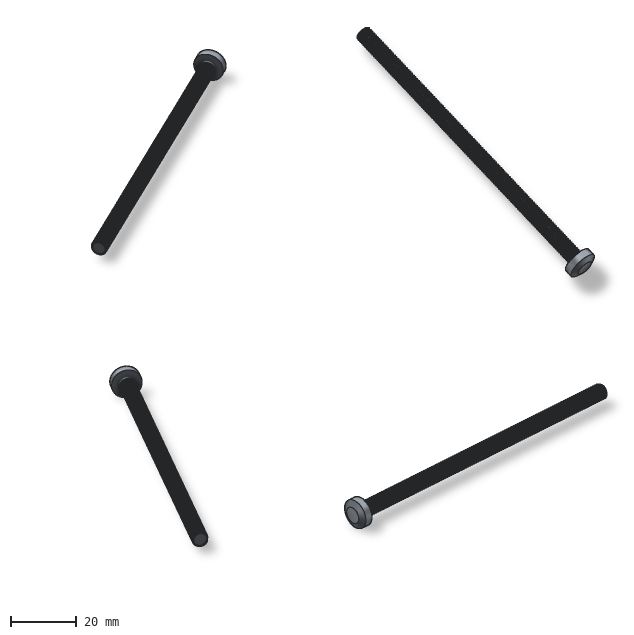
import cadquery as cq
import math

total_length = 103.7

head_diameter = 9.5
head_height = 3.6
crown_height = 1.0
crown_flat_diameter = 5.4
seat_fillet = 0.26

shank_length = total_length - head_height
plain_diameter = 4.3
neck_length = 0.78
tip_length = 0.16
neck_bottom = shank_length - neck_length

root_diameter = 4.0
thread_height = 0.49
turn_count = 124
pitch = (neck_bottom - tip_length) / turn_count
crest_share = 1 / 8
root_share = 3 / 8
thread_phase = 57
flank_points = 4


def polar(radius, angle):
    return radius * math.cos(angle), radius * math.sin(angle)


def thread_section():
    """Cross-section of a single-start thread: two arcs joined by spiral flanks."""
    root_radius = root_diameter / 2
    crest_radius = root_radius + thread_height
    crest_angle = math.pi * crest_share
    root_angle = math.pi * (1 - root_share)

    def falling_flank(t):
        radius = crest_radius + (root_radius - crest_radius) * t
        return polar(radius, crest_angle + (root_angle - crest_angle) * t)

    def rising_flank(t):
        x, y = falling_flank(1 - t)
        return x, -y

    return (
        cq.Workplane("XY")
        .moveTo(*polar(crest_radius, -crest_angle))
        .threePointArc((crest_radius, 0), polar(crest_radius, crest_angle))
        .parametricCurve(falling_flank, N=flank_points, makeWire=False)
        .moveTo(*polar(root_radius, root_angle))
        .threePointArc((-root_radius, 0), polar(root_radius, -root_angle))
        .parametricCurve(rising_flank, N=flank_points, makeWire=False)
        .wire()
    )


def make_turn(bottom):
    """One right-hand turn of threaded rod with a flat, equal section at each end."""
    turn = thread_section().twistExtrude(pitch, 360)
    return turn.rotate((0, 0, 0), (0, 0, 1), thread_phase).translate((0, 0, bottom))


def make_disc(diameter, bottom, height):
    """Round disc on the screw axis, with its lower face at height `bottom`."""
    return cq.Workplane("XY").workplane(offset=bottom).circle(diameter / 2).extrude(height)


def make_head():
    """Round head with a tapered crown, on a plain neck that is filleted into its seat."""
    crown_inset = (head_diameter - crown_flat_diameter) / 2
    head = make_disc(head_diameter, shank_length, head_height)
    head = head.faces(">Z").chamfer(crown_height, crown_inset)
    neck = make_disc(plain_diameter, neck_bottom, neck_length)
    seat_corner = cq.selectors.RadiusNthSelector(0)
    return head.union(neck).faces("<Z[1]").edges(seat_corner).fillet(seat_fillet)


def join_along_turns(head_end, tip_end):
    """Sew head end, middle turns and tip end into one solid, leaving out the flat joints."""
    faces = head_end.faces("not <Z").vals() + tip_end.faces("not >Z").vals()
    flanks = make_turn(tip_length).faces("not %PLANE").vals()
    for turn in range(1, turn_count - 1):
        for face in flanks:
            faces.append(face.translate(cq.Vector(0, 0, turn * pitch)))
    return cq.Workplane(obj=cq.Solid.makeSolid(cq.Shell.makeShell(faces)))


head_end = make_head().union(make_turn(neck_bottom - pitch))
tip_end = make_disc(plain_diameter, 0, tip_length).union(make_turn(tip_length))

screw = join_along_turns(head_end, tip_end)
result = screw.rotate((0, 0, 0), (1, 0, 0), -90).translate((0, -total_length / 2, 0))